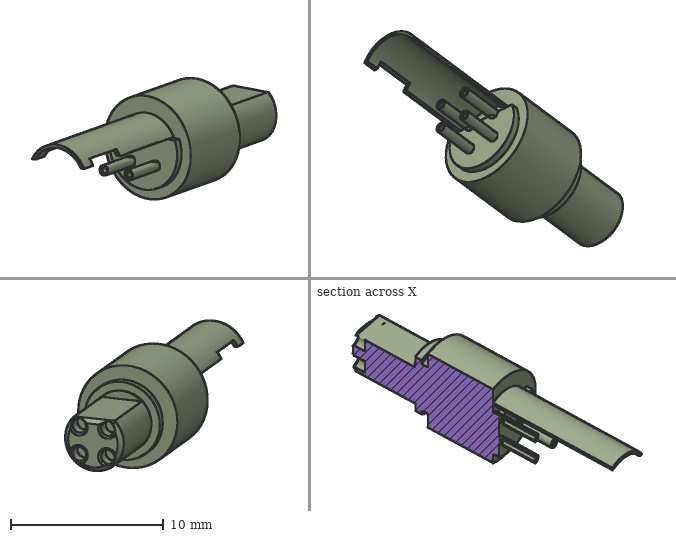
import cadquery as cq
import math


body_diameter = 7.0
body_length = 5.5
neck_radius = 2.35
neck_length = 0.48
flange_radius = 2.65
flange_length = 0.55

plug_radius = 2.07
plug_length = 5.28
plug_collar_length = 0.07
plug_flat_height = 1.5
plug_chamfer_axial = 0.28
plug_chamfer_radial = 0.33

contact_x = 1.0
contact_z = 0.95
contact_points = [(x, z) for x in (-contact_x, contact_x) for z in (-contact_z, contact_z)]
socket_radius = 0.48
socket_mouth_radius = 0.63
socket_mouth_depth = 0.13
socket_depth = 1.0

insert_radius = 2.75
insert_length = 0.5
insert_flat_height = 0.98

pin_radius = 0.35
pin_end = 3.5
pin_bore_radius = 0.2
pin_mouth_radius = 0.28
pin_mouth_depth = 0.09
vent_radius = 0.164
vent_gap = 0.05

shell_inner_radius = 2.14
shell_length = 10.0
shell_bottom = 1.05
notch_start = 6.02
notch_end = 8.98
notch_height = 1.48

neck_end = body_length + neck_length
plug_start = neck_end + flange_length
plug_end = plug_start + plug_length
vent_y = -(insert_length + vent_gap + vent_radius)


def cylinder(radius, y_start, y_end, x=0, z=0):
    """Solid cylinder along Y between two stations."""
    start = cq.Vector(x, y_start, z)
    return cq.Workplane(cq.Solid.makeCylinder(radius, y_end - y_start, start, cq.Vector(0, 1, 0)))


def flared_hole(radius, mouth_radius, mouth_depth, bottom_y, mouth_y, x, z):
    """Cutter for a blind hole along Y that widens conically at its mouth."""
    outward = cq.Vector(0, math.copysign(1, mouth_y - bottom_y), 0)
    length = abs(mouth_y - bottom_y)
    straight = cq.Solid.makeCylinder(radius, length, cq.Vector(x, bottom_y, z), outward)
    flare_base = cq.Vector(x, mouth_y, z) - outward * mouth_depth
    flare = cq.Solid.makeCone(radius, mouth_radius, mouth_depth, flare_base, outward)
    return cq.Workplane(straight).union(cq.Workplane(flare))


def slab(y_start, y_end, z_start, z_end):
    """Block as wide as the body, used to trim round shapes to a flat."""
    return (
        cq.Workplane()
        .box(body_diameter, y_end - y_start, z_end - z_start, centered=(True, False, False))
        .translate((0, y_start, z_start))
    )


def make_plug():
    plug = cylinder(plug_radius, plug_start, plug_end)
    plug = plug.cut(slab(plug_start + plug_collar_length, plug_end, plug_flat_height, plug_radius))
    plug = plug.faces(">Y").chamfer(plug_chamfer_axial, plug_chamfer_radial)
    socket_bottom = plug_end - socket_depth
    for x, z in contact_points:
        socket = flared_hole(
            socket_radius, socket_mouth_radius, socket_mouth_depth, socket_bottom, plug_end, x, z
        )
        plug = plug.cut(socket)
    return plug


def make_insert():
    insert = cylinder(insert_radius, -insert_length, 0)
    return insert.cut(slab(-insert_length, 0, insert_flat_height, insert_radius))


def make_shell():
    shell = cylinder(neck_radius, -shell_length, 0).cut(cylinder(shell_inner_radius, -shell_length, 0))
    shell = shell.intersect(slab(-shell_length, 0, shell_bottom, neck_radius))
    return shell.cut(slab(-notch_end, -notch_start, shell_bottom, notch_height))


def make_pin_bore(x, z):
    """Blind solder bore from the pin tip, with a vent at the pin foot facing the plane Z = 0."""
    bore = flared_hole(pin_bore_radius, pin_mouth_radius, pin_mouth_depth, vent_y, -pin_end, x, z)
    inward = cq.Vector(0, 0, math.copysign(1, -z))
    vent = cq.Solid.makeCylinder(vent_radius, pin_radius, cq.Vector(x, vent_y, z), inward)
    return bore.union(cq.Workplane(vent))


result = (
    cylinder(body_diameter / 2, 0, body_length)
    .union(cylinder(neck_radius, body_length, neck_end))
    .union(cylinder(flange_radius, neck_end, plug_start))
    .union(make_plug())
    .union(make_insert())
    .union(make_shell())
)
for pin_x, pin_z in contact_points:
    result = result.union(cylinder(pin_radius, -pin_end, 0, pin_x, pin_z))
    result = result.cut(make_pin_bore(pin_x, pin_z))